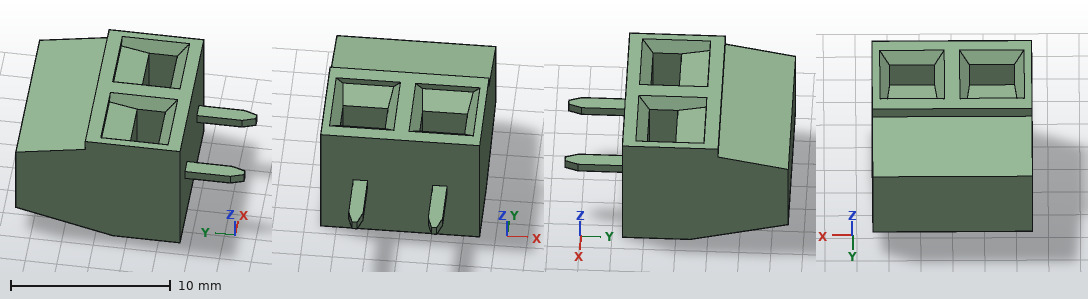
import cadquery as cq

pole_count = 2
pitch = 5.0
body_width = pole_count * pitch
body_depth = 10.4
body_height = 8.1

raised_depth = 6.0
step_drop = 0.7
rear_inset = 1.6
flat_bottom_depth = 4.25

opening_width = 4.04
opening_front = 0.83
opening_rear = 5.09
throat_width = 2.82
throat_front = 1.52
throat_rear = 3.3
throat_depth = 4.0
funnel_depth = (opening_width - throat_width) / 2
ramp_rear_depth = 0.42

pin_width = 0.9
pin_thickness = 0.6
pin_length = 3.7
pin_tip_length = 0.83
pin_tip_width = 0.33
pin_center_height = 4.0

pole_positions = [(i - (pole_count - 1) / 2) * pitch for i in range(pole_count)]


def make_body():
    """Housing: the side profile extruded across the full width."""
    profile = [
        (0, 0),
        (flat_bottom_depth, 0),
        (body_depth, rear_inset),
        (body_depth, body_height - rear_inset),
        (raised_depth, body_height - step_drop),
        (raised_depth, body_height),
        (0, body_height),
    ]
    return cq.Workplane("YZ").polyline(profile).close().extrude(body_width / 2, both=True)


def make_opening(x):
    """Cutter for one wire opening: a sloped funnel leading into a straight throat."""
    funnel_floor = body_height - funnel_depth
    cross_section = [
        (-opening_width / 2, body_height),
        (-throat_width / 2, funnel_floor),
        (throat_width / 2, funnel_floor),
        (opening_width / 2, body_height),
    ]
    long_section = [
        (opening_front, body_height),
        (throat_front, funnel_floor),
        (throat_rear, funnel_floor),
        (opening_rear, body_height - ramp_rear_depth),
        (opening_rear, body_height),
    ]
    trough = cq.Workplane("XZ").polyline(cross_section).close().extrude(-body_depth)
    wedge = cq.Workplane("YZ").polyline(long_section).close().extrude(opening_width / 2, both=True)
    funnel = trough.intersect(wedge)

    throat = cq.Workplane("XY").box(
        throat_width,
        throat_rear - throat_front,
        throat_depth - funnel_depth,
        centered=(True, False, False),
    ).translate((0, throat_front, body_height - throat_depth))
    return funnel.union(throat).translate((x, 0, 0))


def make_pin(x):
    """Flat pin with a tapered tip, standing out of the pin face toward -Y."""
    tip_start = pin_tip_length - pin_length
    outline = [
        (-pin_width / 2, 0),
        (-pin_width / 2, tip_start),
        (-pin_tip_width / 2, -pin_length),
        (pin_tip_width / 2, -pin_length),
        (pin_width / 2, tip_start),
        (pin_width / 2, 0),
    ]
    pin = cq.Workplane("XY").polyline(outline).close().extrude(pin_thickness / 2, both=True)
    return pin.translate((x, 0, pin_center_height))


result = make_body()
for pole_x in pole_positions:
    result = result.cut(make_opening(pole_x)).union(make_pin(pole_x))